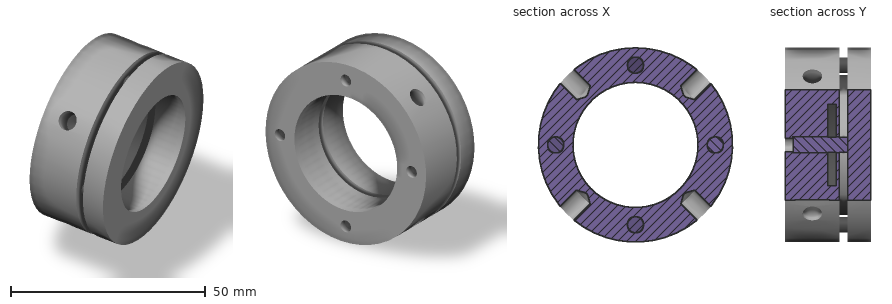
import cadquery as cq
import math

ring_length = 22.0
outer_radius = 25.0
bore_radius = 16.0

wall_thickness = 2.0
outer_groove_start = 14.0
outer_groove_end = 16.0
outer_groove_floor_radius = bore_radius + wall_thickness
web_thickness = 1.0
inner_groove_end = outer_groove_start - web_thickness
inner_groove_width = 2.0
inner_groove_start = inner_groove_end - inner_groove_width
inner_groove_floor_radius = outer_radius - wall_thickness

pin_count = 4
pin_circle_radius = 20.5
pin_radius = 2.0
access_hole_diameter = 3.25
access_hole_depth = 2.0
pin_length = outer_groove_end - access_hole_depth

radial_hole_count = 4
radial_hole_first_angle = 45.0
radial_hole_radius = 2.5
radial_hole_depth = 6.0
drill_point_angle = 118.0
drill_point_depth = radial_hole_radius / math.tan(math.radians(drill_point_angle / 2))
radial_hole_x = outer_groove_start / 2


def cylinder(start_x, length, radius, center_y=0.0, center_z=0.0):
    """Solid cylinder along +X."""
    base = cq.Vector(start_x, center_y, center_z)
    return cq.Workplane(cq.Solid.makeCylinder(radius, length, base, cq.Vector(1, 0, 0)))


def tube(start_x, end_x, inner_radius, tube_radius):
    """Tube along +X between two X positions."""
    length = end_x - start_x
    return cylinder(start_x, length, tube_radius).cut(cylinder(start_x, length, inner_radius))


def directions(count, first_angle=0.0):
    """Evenly spaced unit (y, z) directions around the X axis."""
    angles = [math.radians(first_angle + i * 360 / count) for i in range(count)]
    return [(math.cos(angle), math.sin(angle)) for angle in angles]


def pin_centers():
    """The (y, z) center of each pin."""
    return [(pin_circle_radius * y, pin_circle_radius * z) for y, z in directions(pin_count)]


def make_pin(center_y, center_z):
    """Plain pin from the end of its access hole to the far wall of the outer groove."""
    return cylinder(access_hole_depth, pin_length, pin_radius, center_y, center_z)


def make_radial_hole(y, z):
    """Cutter for one blind hole, sunk inward from the outer surface to a conical drill point."""
    cone_base_radius = outer_radius - radial_hole_depth
    cone_base = cq.Vector(radial_hole_x, cone_base_radius * y, cone_base_radius * z)
    outward = cq.Vector(0, y, z)
    shank = cq.Solid.makeCylinder(radial_hole_radius, radial_hole_depth, cone_base, outward)
    drill_point = cq.Solid.makeCone(radial_hole_radius, 0, drill_point_depth, cone_base, -outward)
    return cq.Workplane(shank).union(cq.Workplane(drill_point))


def make_ring():
    """Ring with its two grooves, radial holes and pin holes."""
    body = tube(0, ring_length, bore_radius, outer_radius)
    body = body.cut(tube(outer_groove_start, outer_groove_end, outer_groove_floor_radius, outer_radius))
    body = body.cut(tube(inner_groove_start, inner_groove_end, bore_radius, inner_groove_floor_radius))
    for y, z in directions(radial_hole_count, radial_hole_first_angle):
        body = body.cut(make_radial_hole(y, z))
    for y, z in pin_centers():
        body = body.cut(cylinder(0, access_hole_depth, access_hole_diameter / 2, y, z))
        body = body.cut(make_pin(y, z))
    return body


ring = make_ring()
pins = [make_pin(y, z) for y, z in pin_centers()]

result = cq.Compound.makeCompound([ring.solids().val(), *[pin.val() for pin in pins]])